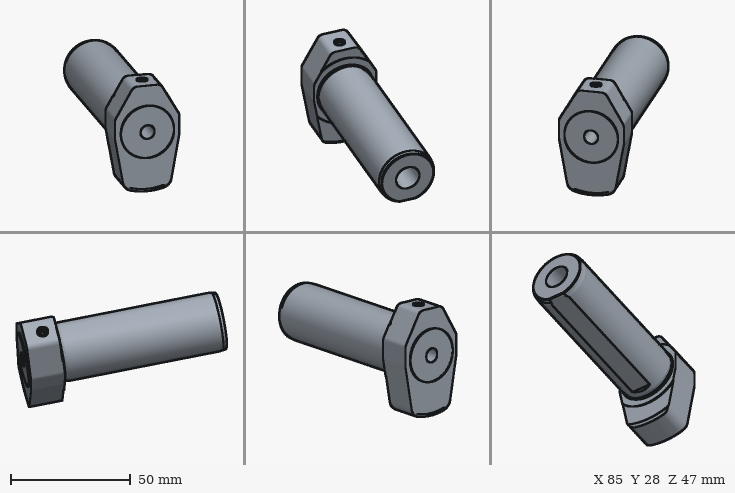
import cadquery as cq
import math

total_length = 85.0
collar_x = 70.0
head_front_x = 70.3
head_back_x = 84.5

shank_radius = 25.0 / 2
relief_radius = 24.6 / 2
nose_length = 1.7
nose_drop = 0.4
nose_bevel_length = 0.2
nose_bevel_drop = 0.3
lead_in_end_x = 3.15
neck_start_x = 67.9
neck_floor_x = 68.6
neck_floor_end_x = 69.4
neck_root_radius = 12.7
flat_z = -11.7
flat_end_x = 65.0
flat_runout = 0.85

head_half_width = 13.98
head_top_z = 20.4
head_bottom_radius = 26.6
top_half_width = 5.95
shoulder_angle = math.radians(30)
taper_start_z = -2.3
taper_angle = math.radians(10)
shoulder_fillet = 3.0
bottom_fillet = 5.0
bottom_chamfer_radial = 1.3
front_chamfer_length = 1.0
back_chamfer_length = 0.4
collar_radius = 16.1
boss_radius = 11.6

bore_mouth_radius = 10.5 / 2
bore_radius = 10.0 / 2
bore_mouth_depth = 1.0
bore_depth = 20.4
middle_radius = 8.2 / 2
middle_depth = 51.0
through_radius = 6.0 / 2

screw_x = 76.4
screw_mouth_radius = 4.6 / 2
screw_radius = 4.0 / 2
screw_recess = 0.85
screw_tip_radius = 2.9 / 2
socket_radius = 2.3 / 2
socket_depth = 1.7


def revolve_about_x(profile):
    """Revolve a closed profile of (x, radius) a full turn about the X axis."""
    return profile.close().revolve(360, (0, 0, 0), (1, 0, 0))


def disc(radius, start_x, end_x):
    """Round disc on the X axis."""
    return cq.Workplane("YZ").workplane(offset=start_x).circle(radius).extrude(end_x - start_x)


def add_nose(outline, radius):
    """Continue an outline with the bevelled and rounded shank end, rising to the given radius."""
    bend = 1 - math.sqrt(0.5)
    round_length = nose_length - nose_bevel_length
    mid_point = (nose_bevel_length + round_length * bend, radius - nose_drop * bend)
    return (
        outline.lineTo(0, radius - nose_drop - nose_bevel_drop)
        .lineTo(nose_bevel_length, radius - nose_drop)
        .threePointArc(mid_point, (nose_length, radius))
    )


def make_shank():
    shank = revolve_about_x(
        add_nose(cq.Workplane("XY"), relief_radius)
        .lineTo(lead_in_end_x, shank_radius)
        .lineTo(neck_start_x, shank_radius)
        .lineTo(neck_floor_x, relief_radius)
        .lineTo(neck_floor_end_x, relief_radius)
        .lineTo(collar_x, neck_root_radius)
        .lineTo(head_back_x, neck_root_radius)
        .lineTo(head_back_x, 0)
    )
    below = 2 * shank_radius
    flat = (
        add_nose(cq.Workplane("XY").moveTo(0, below), -flat_z)
        .lineTo(flat_end_x, -flat_z)
        .lineTo(flat_end_x + flat_runout, shank_radius)
        .lineTo(flat_end_x + flat_runout, below)
        .close()
        .extrude(shank_radius, both=True)
        .rotate((0, 0, 0), (1, 0, 0), -90)
    )
    return shank.cut(flat)


def make_outline():
    """Head outline with filleted corners, long enough to include the collar."""
    shoulder_z = head_top_z - (head_half_width - top_half_width) / math.tan(shoulder_angle)
    below_z = -head_bottom_radius - 0.85
    foot_half_width = head_half_width - (taper_start_z - below_z) * math.tan(taper_angle)
    right_half = [
        (top_half_width, head_top_z),
        (head_half_width, shoulder_z),
        (head_half_width, taper_start_z),
        (foot_half_width, below_z),
    ]
    left_half = [(-y, z) for y, z in reversed(right_half)]
    outline = (
        cq.Workplane("YZ")
        .workplane(offset=collar_x)
        .polyline(right_half + left_half)
        .close()
        .extrude(head_back_x - collar_x)
    )
    outline = outline.intersect(disc(head_bottom_radius, collar_x, head_back_x))
    shoulders = outline.edges("|X").filter(lambda edge: edge.Center().z > 0)
    outline = shoulders.fillet(shoulder_fillet)
    feet = outline.edges("|X").filter(lambda edge: edge.Center().z < -head_bottom_radius / 2)
    return feet.fillet(bottom_fillet)


def make_head():
    outline = make_outline()
    chamfered_radius = head_bottom_radius - bottom_chamfer_radial
    chamfered_disc = revolve_about_x(
        cq.Workplane("XY")
        .moveTo(head_front_x, 0)
        .lineTo(head_front_x, chamfered_radius)
        .lineTo(head_front_x + front_chamfer_length, head_bottom_radius)
        .lineTo(head_back_x - back_chamfer_length, head_bottom_radius)
        .lineTo(head_back_x, chamfered_radius)
        .lineTo(head_back_x, 0)
    )
    collar = outline.intersect(disc(collar_radius, collar_x, head_back_x))
    boss = disc(boss_radius, head_back_x, total_length)
    return outline.intersect(chamfered_disc).union(collar).union(boss)


def make_bore():
    return revolve_about_x(
        cq.Workplane("XY")
        .lineTo(0, bore_mouth_radius)
        .lineTo(bore_mouth_depth, bore_radius)
        .lineTo(bore_depth, bore_radius)
        .lineTo(bore_depth + bore_radius - middle_radius, middle_radius)
        .lineTo(middle_depth, middle_radius)
        .lineTo(middle_depth + middle_radius - through_radius, through_radius)
        .lineTo(total_length, through_radius)
        .lineTo(total_length, 0)
    )


def make_screw_recess():
    """Space above the set screw, including its round socket with a conical floor."""
    mouth_depth = screw_mouth_radius - screw_radius
    rim_depth = screw_recess + screw_radius - screw_tip_radius
    profile = [
        (0, 0),
        (screw_mouth_radius, 0),
        (screw_radius, -mouth_depth),
        (screw_radius, -rim_depth),
        (screw_tip_radius, -screw_recess),
        (socket_radius, -screw_recess),
        (socket_radius, -screw_recess - socket_depth),
        (0, -screw_recess - socket_depth - socket_radius / 2),
    ]
    recess = cq.Workplane("XZ").polyline(profile).close().revolve(360, (0, 0, 0), (0, 1, 0))
    return recess.translate((screw_x, 0, head_top_z))


result = make_shank().union(make_head()).cut(make_bore()).cut(make_screw_recess())